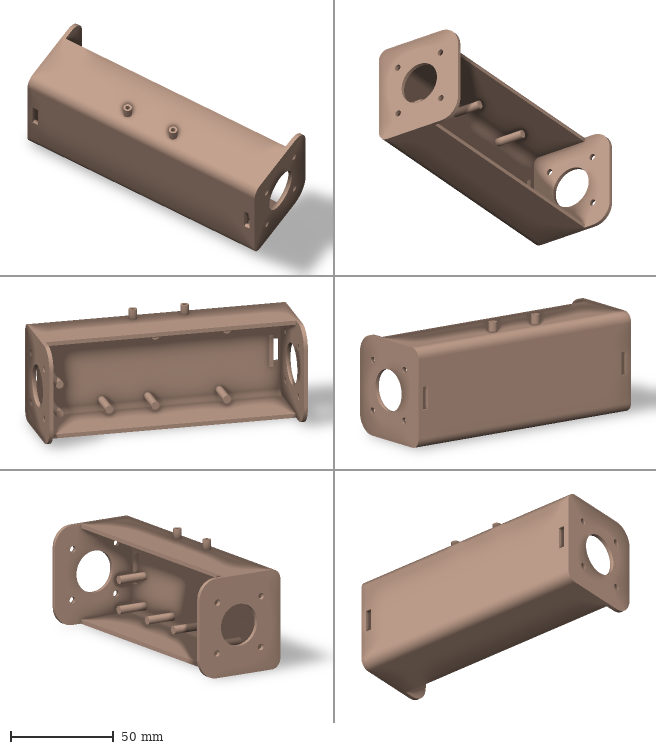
import cadquery as cq

length = 130.0
depth = 47.0
height = 50.0
wall = 2.1
flange_depth = 32.0
bend_radius = 5.0
plate_corner_radius = 10.0

bore_diameter = 21.0
bore_y = 24.0
bolt_circle_diameter = 36.0
bolt_hole_diameter = 3.2
bolt_pattern_tilt = 0.6

slot_width = 3.1
slot_height = 11.7
slot_end_distance = 4.4

rib_gap = 0.1
rib_thickness = wall
rib_height = slot_height + 2 * wall
rib_depth = wall

standoff_diameter = 4.0
spigot_diameter = 2.2
standoff_end_y = 17.0
lower_row_z = 7.0
square_pitch = 36.0
square_left_x = 32.9
corner_x = 117.0
corner_pitch_x = 25.0
corner_pitch_z = 15.1
standoff_positions = [
    (square_left_x, lower_row_z),
    (square_left_x, lower_row_z + square_pitch),
    (square_left_x + square_pitch, lower_row_z),
    (square_left_x + square_pitch, lower_row_z + square_pitch),
    (corner_x - corner_pitch_x, lower_row_z),
    (corner_x, lower_row_z),
    (corner_x, lower_row_z + corner_pitch_z),
]

boss_diameter = 4.2
boss_bore_diameter = spigot_diameter
boss_height = 5.0
boss_spacing = 26.0
boss_y = 8.6


def rounded_block(x_start, x_end, y_start, y_end, z_start, z_end, front_radius):
    """Block between the given limits with its two long front edges rounded."""
    block = cq.Workplane("XY").box(
        x_end - x_start, y_end - y_start, z_end - z_start, centered=False
    )
    block = block.edges("|X and <Y").fillet(front_radius)
    return block.translate((x_start, y_start, z_start))


def front_cylinder(x, z, diameter, y_start, y_end):
    """Cylinder along +Y between two depths."""
    return cq.Workplane(
        cq.Solid.makeCylinder(
            diameter / 2, y_end - y_start, cq.Vector(x, y_start, z), cq.Vector(0, 1, 0)
        )
    )


def make_shell():
    """Channel and end plates, without holes."""
    shell = rounded_block(0, length, 0, depth, 0, height, bend_radius)
    shell = shell.edges("|X and >Y").fillet(plate_corner_radius)
    cavity = rounded_block(
        wall, length - wall, wall, depth, wall, height - wall, bend_radius - wall
    )
    flange_trim = cq.Workplane("XY").box(
        length - 2 * wall, depth - flange_depth, height, centered=False
    )
    return shell.cut(cavity).cut(flange_trim.translate((wall, flange_depth, 0)))


def cut_end_plates(body):
    """Bore and tilted bolt holes through both end plates."""
    end_plane = cq.Workplane("YZ", origin=(0, bore_y, height / 2))
    bore = end_plane.circle(bore_diameter / 2).extrude(length)
    bolt_holes = (
        end_plane.polarArray(bolt_circle_diameter / 2, 45 + bolt_pattern_tilt, 360, 4)
        .circle(bolt_hole_diameter / 2)
        .extrude(length)
    )
    return body.cut(bore).cut(bolt_holes)


def cut_slots(body):
    """Rectangular slot through the front wall near each end."""
    for x in (slot_end_distance, length - slot_end_distance):
        slot = cq.Workplane("XY").box(slot_width, 2 * wall, slot_height)
        body = body.cut(slot.translate((x, wall / 2, height / 2)))
    return body


def add_slot_ribs(body):
    """Low rib behind the front wall, along the inboard side of each slot."""
    rib_end_distance = slot_end_distance + slot_width / 2 + rib_gap + rib_thickness / 2
    for x in (rib_end_distance, length - rib_end_distance):
        rib = cq.Workplane("XY").box(rib_thickness, rib_depth, rib_height)
        body = body.union(rib.translate((x, wall + rib_depth / 2, height / 2)))
    return body


def add_bosses(body):
    """Tubular bosses standing on the top wall."""
    for x in (length / 2 - boss_spacing / 2, length / 2 + boss_spacing / 2):
        boss = (
            cq.Workplane("XY", origin=(x, boss_y, height))
            .circle(boss_diameter / 2)
            .circle(boss_bore_diameter / 2)
            .extrude(boss_height)
        )
        body = body.union(boss)
    return body


def make_housing():
    """Complete housing with a press-in hole for every standoff spigot."""
    body = make_shell()
    body = cut_end_plates(body)
    body = cut_slots(body)
    body = add_slot_ribs(body)
    body = add_bosses(body)
    for x, z in standoff_positions:
        body = body.cut(front_cylinder(x, z, spigot_diameter, 0, wall))
    return body


def make_standoff(x, z):
    """Post on the inside of the front wall, its spigot flush with the outer face."""
    spigot = front_cylinder(x, z, spigot_diameter, 0, wall)
    post = front_cylinder(x, z, standoff_diameter, wall, standoff_end_y)
    return spigot.union(post)


housing = make_housing()
standoffs = [make_standoff(x, z) for x, z in standoff_positions]

result = cq.Compound.makeCompound([housing.val(), *[standoff.val() for standoff in standoffs]])